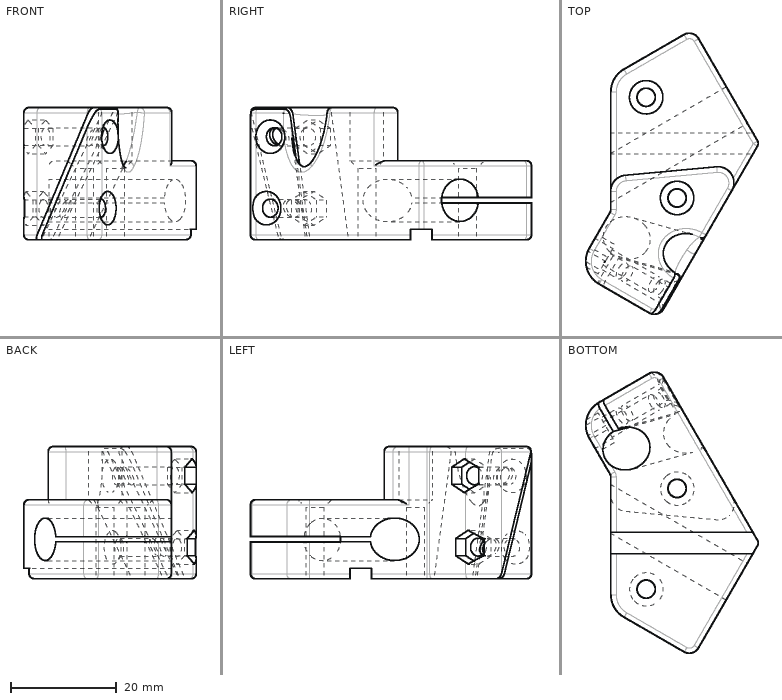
import cadquery as cq
import math

TOTAL_HEIGHT = 25.0
DECK_HEIGHT = 15.0

LEAN = math.radians(60)
LOBE_WIDTH = 17.9
LOBE_LENGTH = 13.05
DECK_LENGTH = 30.65
DECK_WIDTH = 21.95
EDGE_RADIUS = 1.0
INNER_CORNER_RADIUS = EDGE_RADIUS
TIP_RADIUS = EDGE_RADIUS
SMALL_CORNER_RADIUS = 2 * EDGE_RADIUS
LARGE_CORNER_RADIUS = 4.95

STEP_OFFSET = 6.5
STEP_SLOPE = math.radians(5.3)
STEP_CORNER_RADIUS = 3.05

ROD_DIAMETER = 8.0
SLIT_WIDTH = 1.0
DECK_BORE_OFFSET = 5.45
LOBE_BORE_ALONG = 0.15
LOBE_BORE_WALL_OFFSET = 0.7
LOBE_BORE_TILT = math.radians(25.8)
LOBE_BORE_SKEW = math.radians(7)

SCREW_DIAMETER = 3.4
SCREW_HEAD_DIAMETER = 6.3
NUT_WIDTH = 5.5
NUT_DEPTH = 3.8
DECK_SCREWS = [(6.7, 21.45), (12.55, 2.45)]
LOBE_SCREWS = [(-8.7, 6.0), (-7.85, 19.5)]

GROOVE_WIDTH = 4.0
GROOVE_DEPTH = 2.0

REACH = 2 * (DECK_LENGTH + LOBE_LENGTH)

UP = cq.Vector(0, 0, 1)
LOBE_ALONG = cq.Vector(math.cos(LEAN), math.sin(LEAN), 0)
LOBE_ACROSS = cq.Vector(math.sin(LEAN), -math.cos(LEAN), 0)
DECK_ALONG = cq.Vector(math.sin(LEAN), math.cos(LEAN), 0)
DECK_ACROSS = cq.Vector(-math.cos(LEAN), math.sin(LEAN), 0)


def prism(corners, height):
    """Upright block on a polygon given as (corner, rounding radius) pairs."""
    outline = [(point.x, point.y) for point, _ in corners]
    block = cq.Workplane("XY").polyline(outline).close().extrude(height)
    for point, radius in corners:
        upright = cq.selectors.NearestToPointSelector((point.x, point.y, height / 2))
        block = block.edges(upright).fillet(radius)
    return block


def rod(center, direction):
    """Cylinder of the rod diameter, running off the part both ways."""
    start = center - direction * REACH
    return cq.Workplane(cq.Solid.makeCylinder(ROD_DIAMETER / 2, 2 * REACH, start, direction))


def slit(center, axis, side):
    """Flat slab from a bore axis out past one side of the part."""
    plane = cq.Plane(center + side * (REACH / 2), axis, axis.cross(side))
    return cq.Workplane(plane).box(2 * REACH, REACH, SLIT_WIDTH)


def countersunk_screw(mouth, direction):
    """Screw hole with a 90 degree countersink and a clear head passage behind its mouth."""
    hole_radius = SCREW_DIAMETER / 2
    head_radius = SCREW_HEAD_DIAMETER / 2
    hole = cq.Solid.makeCylinder(hole_radius, REACH, mouth, direction)
    countersink = cq.Solid.makeCone(head_radius, hole_radius, head_radius - hole_radius, mouth, direction)
    head_passage = cq.Solid.makeCylinder(head_radius, REACH, mouth, direction * -1)
    return cq.Workplane(hole).union(cq.Workplane(countersink)).union(cq.Workplane(head_passage))


def nut_pocket(floor_center, direction):
    """Hexagonal pocket opening in the given direction, with two corners pointing up and down."""
    corner_diameter = NUT_WIDTH / math.cos(math.pi / 6)
    return cq.Workplane(cq.Plane(floor_center, UP, direction)).polygon(6, corner_diameter).extrude(REACH)


inner_corner = cq.Vector(0, 0, 0)
lobe_left = LOBE_ALONG * -LOBE_LENGTH
lobe_right = lobe_left + LOBE_ACROSS * LOBE_WIDTH
tip = cq.Vector(
    (DECK_LENGTH + LOBE_WIDTH) / (2 * math.sin(LEAN)),
    (DECK_LENGTH - LOBE_WIDTH) / (2 * math.cos(LEAN)),
)
deck_far = DECK_ALONG * DECK_LENGTH + DECK_ACROSS * DECK_WIDTH
deck_left = cq.Vector(0, DECK_WIDTH / math.sin(LEAN), 0)

step_left = cq.Vector(0, STEP_OFFSET, 0)
step_direction = cq.Vector(math.cos(STEP_SLOPE), math.sin(STEP_SLOPE), 0)
step_length = (LOBE_WIDTH - step_left.dot(LOBE_ACROSS)) / step_direction.dot(LOBE_ACROSS)
step_right = step_left + step_direction * step_length

lobe_bore_center = (
    LOBE_ALONG * LOBE_BORE_ALONG + LOBE_ACROSS * (LOBE_WIDTH - LOBE_BORE_WALL_OFFSET) + UP * TOTAL_HEIGHT
)
lobe_tilt = (UP + LOBE_ACROSS * math.tan(LOBE_BORE_TILT)).normalized()
lobe_bore_axis = (
    UP + LOBE_ACROSS * math.tan(LOBE_BORE_TILT) + LOBE_ALONG * math.tan(LOBE_BORE_SKEW)
).normalized()

lobe_corners = [
    (inner_corner, INNER_CORNER_RADIUS),
    (lobe_left, LARGE_CORNER_RADIUS),
    (lobe_right, SMALL_CORNER_RADIUS),
]
deck_corners = [
    (tip, TIP_RADIUS),
    (deck_far, SMALL_CORNER_RADIUS),
    (deck_left, LARGE_CORNER_RADIUS),
]
deck = prism(lobe_corners + deck_corners, DECK_HEIGHT)
result = deck.faces("<Z or >Z").edges().fillet(EDGE_RADIUS)

step_corners = [(step_right, STEP_CORNER_RADIUS), (step_left, STEP_CORNER_RADIUS)]
lobe = prism(lobe_corners + step_corners, TOTAL_HEIGHT)
lobe = lobe.cut(cq.Workplane("XY").box(REACH, REACH, DECK_HEIGHT))
result = result.union(lobe)

result = result.cut(rod(lobe_bore_center, lobe_bore_axis))
above_deck = cq.selectors.BoxSelector(
    (-REACH, -REACH, DECK_HEIGHT), (REACH, REACH, TOTAL_HEIGHT - EDGE_RADIUS)
)
wall_mouth = result.edges("%ELLIPSE").edges(above_deck)
result = result.faces(">Z").edges().add(wall_mouth).fillet(EDGE_RADIUS)
result = result.cut(slit(lobe_bore_center, lobe_tilt, LOBE_ALONG * -1))

deck_bore_center = DECK_ACROSS * DECK_BORE_OFFSET + UP * (DECK_HEIGHT / 2)
result = result.cut(rod(deck_bore_center, DECK_ALONG))
result = result.cut(slit(deck_bore_center, DECK_ALONG, DECK_ACROSS))

for x, y in DECK_SCREWS:
    result = result.cut(countersunk_screw(cq.Vector(x, y, DECK_HEIGHT), UP * -1))

for along, height in LOBE_SCREWS:
    left_end = LOBE_ALONG * along + UP * height
    right_end = left_end + LOBE_ACROSS * LOBE_WIDTH
    result = result.cut(countersunk_screw(right_end, LOBE_ACROSS * -1))
    result = result.cut(nut_pocket(left_end + LOBE_ACROSS * NUT_DEPTH, LOBE_ACROSS * -1))

groove = cq.Workplane("XY").center(0, tip.y).box(REACH, GROOVE_WIDTH, 2 * GROOVE_DEPTH)
result = result.cut(groove)